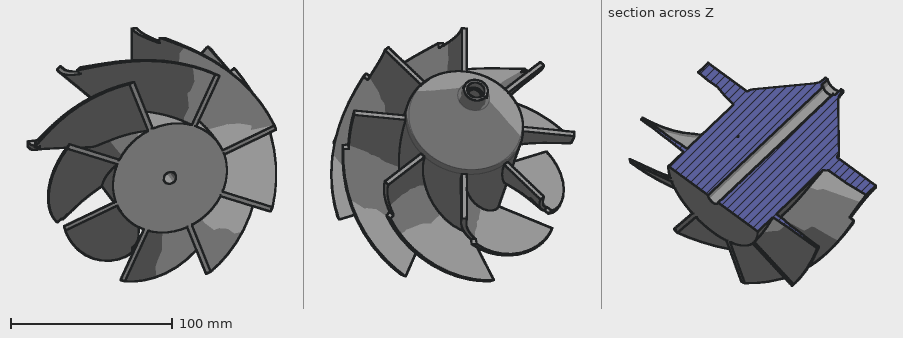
import cadquery as cq
import math

NOSE_LENGTH = 39.8
BLADE_LENGTH = 74.4
TIP_STEP_OFFSET = 24.2
TOTAL_LENGTH = NOSE_LENGTH + BLADE_LENGTH

HUB_RADIUS = 74.0 / 2
NOSE_TIP_RADIUS = 15.0 / 2
NECK_FILLET = 9.9
RIM_FILLET = 5.1
CONE_START = 5.1
CONE_END = 37.8
CORNER_SEARCH = 1.5
BORE_DIAMETER = 8.0
COUNTERBORE_DIAMETER = 11.0
COUNTERBORE_DEPTH = 6.0

BLADE_COUNT = 8
BLADE_THICKNESS = 3.2
FRONT_BLADE_RADIUS = 69.4
REAR_BLADE_RADIUS = 72.9
BLADE_TWIST = 70.0
QUADRATIC_TWIST = 83.0
BLADE_SECTIONS = 9
ROOT_EMBED = 4.4
TIP_TRIM = 1.5


def axial_cylinder(radius, start, length):
    return cq.Workplane("YZ", origin=(start, 0, 0)).circle(radius).extrude(length)


def circle_near(x):
    """Selector for the circular profile corner close to an axial position."""
    return cq.selectors.BoxSelector(
        (x - CORNER_SEARCH, -HUB_RADIUS, -HUB_RADIUS),
        (x + CORNER_SEARCH, HUB_RADIUS, HUB_RADIUS),
    )


def make_hub():
    """Conical nose blended into a cylindrical hub, both turned about X."""
    profile = (
        cq.Workplane("XY")
        .moveTo(0, 0)
        .lineTo(0, NOSE_TIP_RADIUS)
        .lineTo(CONE_START, NOSE_TIP_RADIUS)
        .lineTo(CONE_END, HUB_RADIUS)
        .lineTo(TOTAL_LENGTH, HUB_RADIUS)
        .lineTo(TOTAL_LENGTH, 0)
        .close()
    )
    hub = profile.revolve(360, (0, 0, 0), (1, 0, 0))
    hub = hub.edges("%CIRCLE").edges(circle_near(CONE_START)).fillet(NECK_FILLET)
    return hub.edges("%CIRCLE").edges(circle_near(CONE_END)).fillet(RIM_FILLET)


def twist_angle(fraction):
    """Blade rotation about X in degrees at a fraction of the blade length."""
    cubic_twist = BLADE_TWIST - QUADRATIC_TWIST
    return QUADRATIC_TWIST * fraction**2 + cubic_twist * fraction**3


def blade_section(fraction):
    """Radial rectangle across the blade, turned to its local twist angle."""
    angle = math.radians(twist_angle(fraction))
    half = BLADE_THICKNESS / 2
    root = HUB_RADIUS - ROOT_EMBED
    tip = REAR_BLADE_RADIUS + TIP_TRIM
    x = NOSE_LENGTH + fraction * BLADE_LENGTH
    corners = []
    for radius, offset in ((root, -half), (tip, -half), (tip, half), (root, half)):
        y = radius * math.sin(angle) + offset * math.cos(angle)
        z = radius * math.cos(angle) - offset * math.sin(angle)
        corners.append(cq.Vector(x, y, z))
    return cq.Wire.makePolygon(corners, close=True)


def make_blade():
    """Twisted blade trimmed to a stepped cylindrical tip envelope."""
    sections = [blade_section(i / (BLADE_SECTIONS - 1)) for i in range(BLADE_SECTIONS)]
    blade = cq.Workplane(obj=cq.Solid.makeLoft(sections))
    front = axial_cylinder(FRONT_BLADE_RADIUS, NOSE_LENGTH, TIP_STEP_OFFSET)
    rear_start = NOSE_LENGTH + TIP_STEP_OFFSET
    rear = axial_cylinder(REAR_BLADE_RADIUS, rear_start, TOTAL_LENGTH - rear_start)
    return blade.intersect(front.union(rear))


result = make_hub()
blade = make_blade()
for i in range(BLADE_COUNT):
    result = result.union(blade.rotate((0, 0, 0), (1, 0, 0), i * 360 / BLADE_COUNT))

result = result.cut(axial_cylinder(BORE_DIAMETER / 2, 0, TOTAL_LENGTH))
result = result.cut(axial_cylinder(COUNTERBORE_DIAMETER / 2, 0, COUNTERBORE_DEPTH))